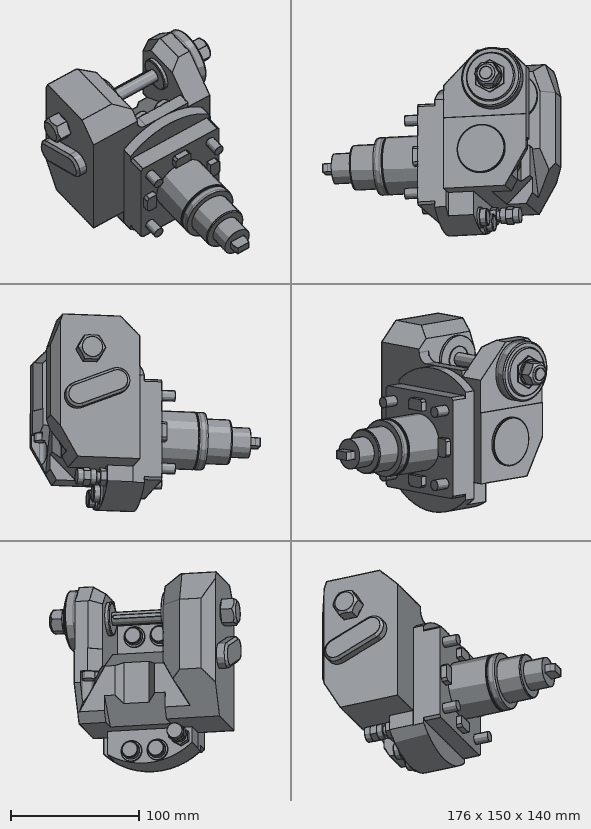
import cadquery as cq
import math


FORK_BACK = -22.5
FORK_BOTTOM = -30.0
FORK_HALF_GAP = 24.3
UNDERCUT_START = -71.8
UNDERCUT_ANGLE = 60.0

HEAD_FRONT = -91.6
HEAD_TOP = 83.0
HEAD_OUTER_Y = -66.8
HEAD_SLANT_Z = 60.5
HEAD_SLANT_X = -83.6
HEAD_REAR_CHAMFER = 15.3
HEAD_OUTER_BEVEL_X = 6.0
HEAD_OUTER_BEVEL_Y = 10.0
HEAD_FRONT_BEVEL_Y = 15.2
HEAD_TOP_BEVEL_Y = 13.8
BEVEL_SLOPE = math.tan(math.radians(30))

ARM_FRONT = -88.6
ARM_TOP = 79.1
ARM_FRONT_CHAMFER = 14.9
ARM_REAR_CHAMFER = 27.0
ARM_SPLIT_Z = 26.3
ARM_LOWER_OUTER_Y = 45.8
ARM_UPPER_OUTER_Y = 45.2
ARM_LOWER_BEVEL_Y = 10.8
ARM_UPPER_BEVEL_Y = 10.3
ARM_SLANT_BEVEL_Y = 9.3

POCKET_X = -82.2
POCKET_Y = 35.7
POCKET_RADIUS = 5.1
POCKET_TOP = 8.3
POCKET_SCREW_HEIGHT = 5.8
POCKET_SCREW_CLEARANCE = 0.1

WEB_FRONT = -76.7
WEB_FRONT_TOP = 14.0
WEB_FRONT_BOTTOM = -9.7
WEB_FLOOR = 30.0
WEB_FLOOR_FRONT = -49.0
WEB_FILLET = 8.0
WEB_FLARE_TOP = 13.2
WALL_FRONT = -32.7
WALL_TOP = 57.0
NOTCH_HALF_WIDTH = 10.1
NOTCH_DEPTH = 5.8

FLANGE_RADIUS = 57.0
FLANGE_HALF_WIDTH = 37.7
FLANGE_FACE = -13.5
LOWER_FLANGE_FRONT = -42.8
LOWER_FLANGE_STEP_Y = 29.8
LOWER_FLANGE_SIDE_Y = -38.0
BASE_FACE = 0.3
BASE_HALF_HEIGHT = 40.0
BASE_CHAMFER = 2.0

SHANK_RADIUS = 22.5
SHANK_GROOVE_X = 32.4
SHANK_GROOVE_WIDTH = 1.0
SHANK_GROOVE_DEPTH = 1.0
SHANK_END = 40.0
RING_BEVEL_LENGTH = 1.6
RING_BEVEL_DEPTH = 0.4
NOSE_RADIUS = 17.5
NOSE_END = 60.2
NOSE_CHAMFER = 1.0
STUB_RADIUS = 11.75
STUB_END = 76.0
TANG_END = 84.4
TANG_WIDTH = 12.6
TANG_THICKNESS = 6.5
TANG_CHAMFER_LENGTH = 4.0
TANG_CHAMFER = 0.9

PIN_OFFSET = 29.0
PIN_RADIUS = 4.1
PIN_END = 12.0
KEY_WIDTH = 14.6
KEY_OUTER = 35.0
KEY_INNER = 26.0
KEY_END = 5.0
KEY_CHAMFER = 2.0

SCREW_Y = 10.4
SCREW_Z = 47.0
SCREW_HEAD_RADIUS = 6.7
SCREW_WASHER_RADIUS = 8.2
SCREW_WASHER_THICKNESS = 1.7
SCREW_HEIGHT = 7.0
SCREW_CHAMFER = 0.7

FITTING_Y = -29.3
FITTING_Z = -37.9
FITTING_RADIUS = 6.0
FITTING_NECK_RADIUS = 4.1
FITTING_HEX_FLATS = 12.3
FITTING_BASE_FRONT = -47.6
FITTING_BODY_START = -50.7
FITTING_HEX_START = -60.9
FITTING_HEX_LENGTH = 5.5
FITTING_END = -65.8

SHAFT_X = -62.5
SHAFT_Z = 55.2
SHAFT_RADIUS = 5.1
SHAFT_KEY_WIDTH = 2.8
SHAFT_KEY_HEIGHT = 1.1
SHAFT_KEY_LENGTH = 40.8
SHAFT_KEY_Y = -0.8
ARM_COLLAR_RADIUS = 13.1
ARM_COLLAR_LENGTH = 3.5
ARM_COLLAR_CHAMFER = 0.8
HEAD_COLLAR_RADIUS = 18.4
HEAD_COLLAR_LENGTH = 2.3
HEAD_HUB_RADIUS = 10.0
HEAD_HUB_LENGTH = 2.9

BEARING_CAP_RADIUS = 23.6
BEARING_CAP_FOOT_RADIUS = 23.8
BEARING_CAP_STEP_Y = 47.3
BEARING_CAP_RIM_Y = 53.2
BEARING_CAP_SHOULDER_Y = 54.3
BEARING_CAP_SHOULDER_RADIUS = 22.5
BEARING_CAP_HUB_RADIUS = 19.5
BEARING_CAP_TOP_RADIUS = 18.6
BEARING_CAP_TOP_Y = 55.9
WASHER_RADIUS = 10.0
TAB_PLATE_FLATS = 22.3
TAB_PLATE_Y = 56.7
TAB_PLATE_THICKNESS = 1.1
NUT_FLATS = 17.0
NUT_BASE_Y = 59.5
NUT_TOP_Y = 69.7
STUD_RADIUS = 5.0
STUD_END_Y = 70.65

BOLT_FLATS = 19.1
BOLT_TOP_Y = -79.35
BOLT_COLLAR_RADIUS = 8.5
BOLT_COLLAR_THICKNESS = 0.7
HEX_CHAMFER_ANGLE = 40.0
HEX_LAND_RATIO = 0.84

LUG_CENTER_X = -57.1
LUG_CENTER_Z = 24.3
LUG_SPACING = 33.4
LUG_RADIUS = 9.9
LUG_ANGLE = 22.0
LUG_HEIGHT = 8.4
LUG_CHAMFER = 2.1

COVER_X = -53.0
COVER_RADIUS = 19.1
COVER_HEIGHT = 2.2
COVER_CHAMFER = 0.5

OVERLAP = 1.0
FAR = 300.0


def box(x0, x1, y0, y1, z0, z1):
    return cq.Workplane("XY").box(x1 - x0, y1 - y0, z1 - z0, centered=False).translate((x0, y0, z0))


def rod_x(x0, x1, radius, y=0.0, z=0.0):
    return cq.Workplane("YZ", origin=(x0, y, z)).circle(radius).extrude(x1 - x0)


def rod_y(y0, y1, radius, x=SHAFT_X, z=SHAFT_Z):
    return cq.Workplane("XZ", origin=(x, y0, z)).circle(radius).extrude(y0 - y1)


def plate_xz(points, y0, y1):
    return cq.Workplane("XZ", origin=(0, y0, 0)).polyline(points).close().extrude(y0 - y1)


def prism_yz(points, x0, x1):
    return cq.Workplane("YZ", origin=(x0, 0, 0)).polyline(points).close().extrude(x1 - x0)


def hexagon_diameter(flats):
    return 2 * flats / math.sqrt(3)


def hex_x(x0, x1, flats, y, z):
    """Hexagonal prism along X with two corners pointing up and down."""
    sketch = cq.Workplane("YZ", origin=(x0, y, z)).transformed(rotate=(0, 0, 90))
    return sketch.polygon(6, hexagon_diameter(flats)).extrude(x1 - x0)


def hex_y(y0, y1, flats, turn=0.0):
    """Hexagonal prism on the shaft axis; unturned, two corners point along X."""
    sketch = cq.Workplane("XZ", origin=(SHAFT_X, y0, SHAFT_Z)).transformed(rotate=(0, 0, turn))
    return sketch.polygon(6, hexagon_diameter(flats)).extrude(y0 - y1)


def chamfered_hex_y(y0, y1, flats):
    """Hexagonal prism on the shaft axis whose corners are turned off conically at the y1 end."""
    corner = hexagon_diameter(flats) / 2
    land = flats / 2 * HEX_LAND_RATIO
    drop = (corner - land) * math.tan(math.radians(HEX_CHAMFER_ANGLE))
    toward_base = math.copysign(drop, y0 - y1)
    turned = revolve_on_shaft([(0, y0), (corner, y0), (corner, y1 + toward_base), (land, y1), (0, y1)])
    return hex_y(y0, y1, flats).intersect(turned)


def revolve_on_shaft(profile):
    """Turn a (radius, y) profile around the cross shaft axis."""
    outline = cq.Workplane("XY", origin=(SHAFT_X, 0, SHAFT_Z)).polyline(profile).close()
    return outline.revolve(360, (0, 0), (0, 1))


def bevel_inner_edge(body, start, end, face_y, side, width):
    """Plane off the edge from start to end (x, z) where the body meets its inner face.

    The body lies to the right of the edge direction; side is +1 or -1 for the Y direction
    from the inner face into the body.
    """
    dx = end[0] - start[0]
    dz = end[1] - start[1]
    plane = cq.Plane(origin=(start[0], face_y, start[1]), xDir=(dz, 0, -dx), normal=(dx, 0, dz))
    depth = width * BEVEL_SLOPE
    wedge_outline = [
        (-OVERLAP, -side * OVERLAP),
        (depth + OVERLAP * BEVEL_SLOPE, -side * OVERLAP),
        (-OVERLAP * BEVEL_SLOPE, side * (width + OVERLAP)),
        (-OVERLAP, side * (width + OVERLAP)),
    ]
    wedge = cq.Workplane(plane).polyline(wedge_outline).close().extrude(FAR, both=True)
    return body.cut(wedge)


def undercut_z(x):
    """Height of the slanted underside at the front of the fork."""
    return FORK_BOTTOM + (UNDERCUT_START - x) * math.tan(math.radians(UNDERCUT_ANGLE))


def make_head():
    outline = [
        (UNDERCUT_START, FORK_BOTTOM),
        (HEAD_FRONT, undercut_z(HEAD_FRONT)),
        (HEAD_FRONT, HEAD_SLANT_Z),
        (HEAD_SLANT_X, HEAD_TOP),
        (FORK_BACK - HEAD_REAR_CHAMFER, HEAD_TOP),
        (FORK_BACK, HEAD_TOP - HEAD_REAR_CHAMFER),
        (FORK_BACK, FORK_BOTTOM),
    ]
    head = plate_xz(outline, HEAD_OUTER_Y, -FORK_HALF_GAP)
    front_low, front_high, slant_top, top_back = outline[1:5]
    head = bevel_inner_edge(head, front_low, front_high, -FORK_HALF_GAP, -1, HEAD_FRONT_BEVEL_Y)
    head = bevel_inner_edge(head, front_high, slant_top, -FORK_HALF_GAP, -1, HEAD_FRONT_BEVEL_Y)
    head = bevel_inner_edge(head, slant_top, top_back, -FORK_HALF_GAP, -1, HEAD_TOP_BEVEL_Y)
    outer_corner = [
        (HEAD_FRONT, HEAD_OUTER_Y),
        (HEAD_FRONT + HEAD_OUTER_BEVEL_X, HEAD_OUTER_Y),
        (HEAD_FRONT, HEAD_OUTER_Y + HEAD_OUTER_BEVEL_Y),
    ]
    return head.cut(cq.Workplane("XY").polyline(outer_corner).close().extrude(FAR, both=True))


def make_arm_section(outer_y, bevel_width, z0, z1):
    outline = [
        (UNDERCUT_START, FORK_BOTTOM),
        (ARM_FRONT, undercut_z(ARM_FRONT)),
        (ARM_FRONT, ARM_TOP - ARM_FRONT_CHAMFER),
        (ARM_FRONT + ARM_FRONT_CHAMFER, ARM_TOP),
        (FORK_BACK - ARM_REAR_CHAMFER, ARM_TOP),
        (FORK_BACK, ARM_TOP - ARM_REAR_CHAMFER),
        (FORK_BACK, FORK_BOTTOM),
    ]
    arm = plate_xz(outline, FORK_HALF_GAP, outer_y)
    front_low, front_high, slant_top, top_back = outline[1:5]
    arm = bevel_inner_edge(arm, front_low, front_high, FORK_HALF_GAP, 1, bevel_width)
    arm = bevel_inner_edge(arm, front_high, slant_top, FORK_HALF_GAP, 1, ARM_SLANT_BEVEL_Y)
    arm = bevel_inner_edge(arm, slant_top, top_back, FORK_HALF_GAP, 1, bevel_width)
    return arm.intersect(box(-FAR, FAR, -FAR, FAR, z0, z1))


def make_screw_pocket():
    """Vertical round-backed recess, open to the front, the web and below, with a screw head at its top."""
    height = POCKET_TOP - FORK_BOTTOM
    slot = cq.Workplane("XY", origin=(POCKET_X, POCKET_Y, FORK_BOTTOM)).circle(POCKET_RADIUS).extrude(height)
    mouth = box(
        ARM_FRONT - OVERLAP,
        POCKET_X,
        FORK_HALF_GAP - OVERLAP,
        POCKET_Y + POCKET_RADIUS,
        FORK_BOTTOM,
        POCKET_TOP,
    )
    screw = (
        cq.Workplane("XY", origin=(POCKET_X, POCKET_Y, POCKET_TOP + OVERLAP))
        .circle(POCKET_RADIUS - POCKET_SCREW_CLEARANCE)
        .extrude(-POCKET_SCREW_HEIGHT - OVERLAP)
    )
    return slot.union(mouth).cut(screw)


def make_arm():
    lower = make_arm_section(ARM_LOWER_OUTER_Y, ARM_LOWER_BEVEL_Y, FORK_BOTTOM, ARM_SPLIT_Z)
    upper = make_arm_section(ARM_UPPER_OUTER_Y, ARM_UPPER_BEVEL_Y, ARM_SPLIT_Z, ARM_TOP)
    return lower.union(upper).cut(make_screw_pocket())


def make_flare_cut():
    """Clears both arms in front of the web, along flanks that spread toward the bottom."""
    spread = (WEB_FLARE_TOP - FORK_BOTTOM) * BEVEL_SLOPE
    trapezoid = [
        (-FORK_HALF_GAP, WEB_FLARE_TOP),
        (FORK_HALF_GAP, WEB_FLARE_TOP),
        (FORK_HALF_GAP + spread, FORK_BOTTOM),
        (-FORK_HALF_GAP - spread, FORK_BOTTOM),
    ]
    return prism_yz(trapezoid, HEAD_FRONT - OVERLAP, WEB_FRONT)


def make_web():
    outline = [
        (WEB_FRONT + WEB_FRONT_BOTTOM - FORK_BOTTOM, FORK_BOTTOM),
        (WEB_FRONT, WEB_FRONT_BOTTOM),
        (WEB_FRONT, WEB_FRONT_TOP),
        (WEB_FLOOR_FRONT, WEB_FLOOR),
        (WALL_FRONT, WEB_FLOOR),
        (WALL_FRONT, WALL_TOP),
        (FORK_BACK, WALL_TOP),
        (FORK_BACK, FORK_BOTTOM),
    ]
    web = plate_xz(outline, -FORK_HALF_GAP, FORK_HALF_GAP)
    mouth = NOTCH_HALF_WIDTH + NOTCH_DEPTH
    notch = [
        (WEB_FRONT, -mouth),
        (WEB_FRONT, mouth),
        (WEB_FRONT + NOTCH_DEPTH, NOTCH_HALF_WIDTH),
        (WEB_FRONT + NOTCH_DEPTH, -NOTCH_HALF_WIDTH),
    ]
    return web.cut(cq.Workplane("XY").polyline(notch).close().extrude(FAR, both=True))


def make_web_fillet(x_front, z_base):
    """Concave round joining an upward face of the web to the head."""
    y_edge = -FORK_HALF_GAP + WEB_FILLET
    middle = WEB_FILLET * (1 - math.sqrt(0.5))
    return (
        cq.Workplane("YZ", origin=(x_front, 0, 0))
        .moveTo(-FORK_HALF_GAP, z_base)
        .lineTo(y_edge, z_base)
        .threePointArc(
            (-FORK_HALF_GAP + middle, z_base + middle),
            (-FORK_HALF_GAP, z_base + WEB_FILLET),
        )
        .close()
        .extrude(FORK_BACK - x_front)
    )


def make_web_fillets():
    slope = (WEB_FLOOR - WEB_FRONT_TOP) / (WEB_FLOOR_FRONT - WEB_FRONT)
    ramp_end_z = WEB_FLOOR + (FORK_BACK - WEB_FLOOR_FRONT) * slope
    below_ramp = [(WEB_FLOOR_FRONT, WEB_FLOOR), (FORK_BACK, ramp_end_z), (FORK_BACK, WEB_FLOOR)]
    floor_fillet = make_web_fillet(WEB_FLOOR_FRONT, WEB_FLOOR)
    floor_fillet = floor_fillet.intersect(plate_xz(below_ramp, -FORK_HALF_GAP, FORK_HALF_GAP))
    return floor_fillet.union(make_web_fillet(WALL_FRONT, WALL_TOP))


def make_flange():
    plate = rod_x(FORK_BACK, FLANGE_FACE, FLANGE_RADIUS)
    plate = plate.intersect(box(-FAR, FAR, -FLANGE_HALF_WIDTH, FLANGE_HALF_WIDTH, -FAR, FAR))
    lower = rod_x(LOWER_FLANGE_FRONT, FORK_BACK, FLANGE_RADIUS)
    lower = lower.intersect(box(-FAR, FAR, LOWER_FLANGE_SIDE_Y, LOWER_FLANGE_STEP_Y, -FAR, FORK_BOTTOM))
    base = box(
        FLANGE_FACE - OVERLAP,
        BASE_FACE,
        -FLANGE_HALF_WIDTH,
        FLANGE_HALF_WIDTH,
        -BASE_HALF_HEIGHT,
        BASE_HALF_HEIGHT,
    )
    return plate.union(lower).union(base.edges("|X").chamfer(BASE_CHAMFER))


def make_spindle():
    groove_end = SHANK_GROOVE_X + SHANK_GROOVE_WIDTH
    profile = [
        (FLANGE_FACE, 0),
        (FLANGE_FACE, SHANK_RADIUS),
        (SHANK_GROOVE_X, SHANK_RADIUS),
        (SHANK_GROOVE_X, SHANK_RADIUS - SHANK_GROOVE_DEPTH),
        (groove_end, SHANK_RADIUS - SHANK_GROOVE_DEPTH),
        (groove_end, SHANK_RADIUS - RING_BEVEL_DEPTH),
        (groove_end + RING_BEVEL_LENGTH, SHANK_RADIUS),
        (SHANK_END - RING_BEVEL_LENGTH, SHANK_RADIUS),
        (SHANK_END, SHANK_RADIUS - RING_BEVEL_DEPTH),
        (SHANK_END, NOSE_RADIUS),
        (NOSE_END - NOSE_CHAMFER, NOSE_RADIUS),
        (NOSE_END, NOSE_RADIUS - NOSE_CHAMFER / 2),
        (NOSE_END, STUB_RADIUS),
        (STUB_END, STUB_RADIUS),
        (STUB_END, 0),
    ]
    spindle = cq.Workplane("XY").polyline(profile).close().revolve(360, (0, 0), (1, 0))
    return spindle.union(make_tang())


def make_tang():
    half = TANG_WIDTH / 2
    outline = [
        (STUB_END - OVERLAP, -half),
        (TANG_END - TANG_CHAMFER_LENGTH, -half),
        (TANG_END, -half + TANG_CHAMFER),
        (TANG_END, half - TANG_CHAMFER),
        (TANG_END - TANG_CHAMFER_LENGTH, half),
        (STUB_END - OVERLAP, half),
    ]
    return cq.Workplane("XY").polyline(outline).close().extrude(TANG_THICKNESS / 2, both=True)


def make_pins_and_keys():
    """Four locating pins on the diagonals and four keys on the Y and Z axes of the base face."""
    seat = BASE_FACE - OVERLAP
    pin = rod_x(seat, PIN_END, PIN_RADIUS, PIN_OFFSET, PIN_OFFSET)
    key = box(seat, KEY_END, -KEY_WIDTH / 2, KEY_WIDTH / 2, KEY_INNER, KEY_OUTER)
    key = key.edges("|X and >Z").chamfer(KEY_CHAMFER)
    pair = pin.union(key)
    ring = pair
    for quarter in range(1, 4):
        ring = ring.union(pair.rotate((0, 0, 0), (1, 0, 0), 90 * quarter))
    return ring


def make_cap_screw(seat_x, y, z):
    washer = rod_x(seat_x - SCREW_WASHER_THICKNESS, seat_x + OVERLAP, SCREW_WASHER_RADIUS, y, z)
    head = rod_x(seat_x - SCREW_HEIGHT, seat_x, SCREW_HEAD_RADIUS, y, z)
    return washer.union(head.faces("<X").chamfer(SCREW_CHAMFER))


def make_cap_screws():
    screws = cq.Workplane("XY")
    for y in (-SCREW_Y, SCREW_Y):
        screws = screws.union(make_cap_screw(WALL_FRONT, y, SCREW_Z))
        screws = screws.union(make_cap_screw(LOWER_FLANGE_FRONT, y, -SCREW_Z))
    return screws


def make_coolant_fitting():
    seat = LOWER_FLANGE_FRONT + OVERLAP
    hex_end = FITTING_HEX_START + FITTING_HEX_LENGTH
    fitting = hex_x(FITTING_BASE_FRONT, seat, FITTING_HEX_FLATS, FITTING_Y, FITTING_Z)
    fitting = fitting.union(rod_x(FITTING_BODY_START, seat, FITTING_NECK_RADIUS, FITTING_Y, FITTING_Z))
    fitting = fitting.union(rod_x(FITTING_END, FITTING_BODY_START, FITTING_RADIUS, FITTING_Y, FITTING_Z))
    return fitting.union(hex_x(FITTING_HEX_START, hex_end, FITTING_HEX_FLATS, FITTING_Y, FITTING_Z))


def make_shaft():
    shaft = rod_y(-FORK_HALF_GAP - OVERLAP, FORK_HALF_GAP + OVERLAP, SHAFT_RADIUS)
    key = (
        cq.Workplane("YZ", origin=(SHAFT_X, SHAFT_KEY_Y, SHAFT_Z))
        .slot2D(SHAFT_KEY_LENGTH, SHAFT_KEY_WIDTH)
        .extrude(-SHAFT_RADIUS - SHAFT_KEY_HEIGHT)
    )
    arm_collar = rod_y(FORK_HALF_GAP - ARM_COLLAR_LENGTH, FORK_HALF_GAP + OVERLAP, ARM_COLLAR_RADIUS)
    arm_collar = arm_collar.faces("<Y").chamfer(ARM_COLLAR_CHAMFER)
    head_collar = rod_y(-FORK_HALF_GAP - OVERLAP, -FORK_HALF_GAP + HEAD_COLLAR_LENGTH, HEAD_COLLAR_RADIUS)
    head_hub = rod_y(-FORK_HALF_GAP - OVERLAP, -FORK_HALF_GAP + HEAD_HUB_LENGTH, HEAD_HUB_RADIUS)
    return shaft.union(key).union(arm_collar).union(head_collar).union(head_hub)


def make_bearing_cap():
    """Turned cap on the outside of the arm, with washer, tab plate, nut and stud end."""
    seat = ARM_UPPER_OUTER_Y - OVERLAP
    cap = revolve_on_shaft(
        [
            (0, seat),
            (BEARING_CAP_FOOT_RADIUS, seat),
            (BEARING_CAP_FOOT_RADIUS, ARM_UPPER_OUTER_Y),
            (BEARING_CAP_RADIUS, BEARING_CAP_STEP_Y),
            (BEARING_CAP_RADIUS, BEARING_CAP_RIM_Y),
            (BEARING_CAP_SHOULDER_RADIUS, BEARING_CAP_SHOULDER_Y),
            (BEARING_CAP_HUB_RADIUS, BEARING_CAP_SHOULDER_Y),
            (BEARING_CAP_TOP_RADIUS, BEARING_CAP_TOP_Y),
            (0, BEARING_CAP_TOP_Y),
        ]
    )
    washer = rod_y(BEARING_CAP_TOP_Y, NUT_BASE_Y, WASHER_RADIUS)
    tab_plate = hex_y(TAB_PLATE_Y, TAB_PLATE_Y + TAB_PLATE_THICKNESS, TAB_PLATE_FLATS, turn=90)
    nut = chamfered_hex_y(NUT_BASE_Y, NUT_TOP_Y, NUT_FLATS)
    stud = rod_y(NUT_BASE_Y, STUD_END_Y, STUD_RADIUS)
    return cap.union(washer).union(tab_plate).union(nut).union(stud)


def make_shaft_bolt():
    collar_y = HEAD_OUTER_Y - BOLT_COLLAR_THICKNESS
    collar = rod_y(HEAD_OUTER_Y + OVERLAP, collar_y, BOLT_COLLAR_RADIUS)
    return collar.union(chamfered_hex_y(collar_y, BOLT_TOP_Y, BOLT_FLATS))


def make_side_cover():
    """Slanted round-ended raised cover on the outside of the head."""
    return (
        cq.Workplane("XZ", origin=(LUG_CENTER_X, HEAD_OUTER_Y, LUG_CENTER_Z))
        .slot2D(LUG_SPACING + 2 * LUG_RADIUS, 2 * LUG_RADIUS, LUG_ANGLE)
        .extrude(LUG_HEIGHT)
        .faces("<Y")
        .chamfer(LUG_CHAMFER)
    )


def make_cover():
    """Round cover on the outside of the arm, level with the spindle axis."""
    cover = rod_y(ARM_LOWER_OUTER_Y - OVERLAP, ARM_LOWER_OUTER_Y + COVER_HEIGHT, COVER_RADIUS, COVER_X, 0)
    return cover.faces(">Y").chamfer(COVER_CHAMFER)


fork = make_head().union(make_arm()).cut(make_flare_cut())
result = fork.union(make_web()).union(make_web_fillets())

for piece in (
    make_flange(),
    make_spindle(),
    make_pins_and_keys(),
    make_cap_screws(),
    make_coolant_fitting(),
    make_shaft(),
    make_bearing_cap(),
    make_shaft_bolt(),
    make_side_cover(),
    make_cover(),
):
    result = result.union(piece)